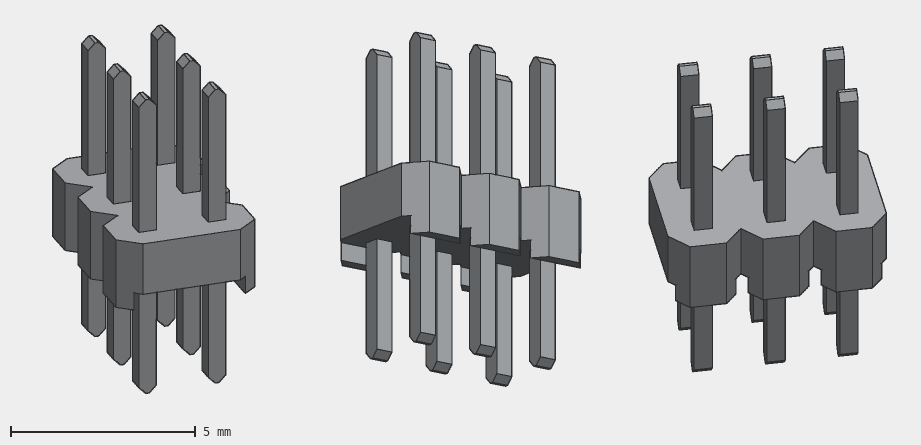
import cadquery as cq

columns = 3
rows = 2

housing_length = 6.01
housing_width = 4.0
housing_height = 2.0
column_pitch = housing_length / columns
row_pitch = housing_width / rows
cell_flat = 1.0
notch_depth = 0.6
foot_height = 0.505
foot_thickness = 0.4

pin_width = 0.505
pin_above = 3.9
pin_length = 8.7
tip_height = 0.2
tip_flat = 0.105
pin_top = housing_height + pin_above
pin_bottom = pin_top - pin_length


def column_x(column):
    return (column - (columns - 1) / 2) * column_pitch


def row_y(row):
    return (row - (rows - 1) / 2) * row_pitch


def make_housing_cell(column):
    """One eight-sided cell of the housing, spanning both rows."""
    half_pitch = column_pitch / 2
    half_flat = cell_flat / 2
    half_width = housing_width / 2
    shoulder = half_width - notch_depth
    outline = [
        (-half_flat, -half_width),
        (half_flat, -half_width),
        (half_pitch, -shoulder),
        (half_pitch, shoulder),
        (half_flat, half_width),
        (-half_flat, half_width),
        (-half_pitch, shoulder),
        (-half_pitch, -shoulder),
    ]
    cell = cq.Workplane("XY").polyline(outline).close().extrude(housing_height)
    return cell.translate((column_x(column), 0, 0))


def make_underside_channel():
    """Lengthwise channel under the housing that leaves feet along both long sides."""
    channel_width = housing_width - 2 * foot_thickness
    return cq.Workplane("XY").box(
        housing_length, channel_width, foot_height, centered=(True, True, False)
    )


def make_pin(column, row):
    """Full-length pin, profiled in the YZ plane and extruded across its X width."""
    half_width = pin_width / 2
    half_tip = tip_flat / 2
    profile = [
        (-half_tip, pin_bottom),
        (half_tip, pin_bottom),
        (half_width, pin_bottom + tip_height),
        (half_width, pin_top - tip_height),
        (half_tip, pin_top),
        (-half_tip, pin_top),
        (-half_width, pin_top - tip_height),
        (-half_width, pin_bottom + tip_height),
    ]
    pin = cq.Workplane("YZ").polyline(profile).close().extrude(half_width, both=True)
    return pin.translate((column_x(column), row_y(row), 0))


result = make_housing_cell(0)
for column in range(1, columns):
    result = result.union(make_housing_cell(column))
result = result.clean().cut(make_underside_channel())

for column in range(columns):
    for row in range(rows):
        result = result.union(make_pin(column, row))